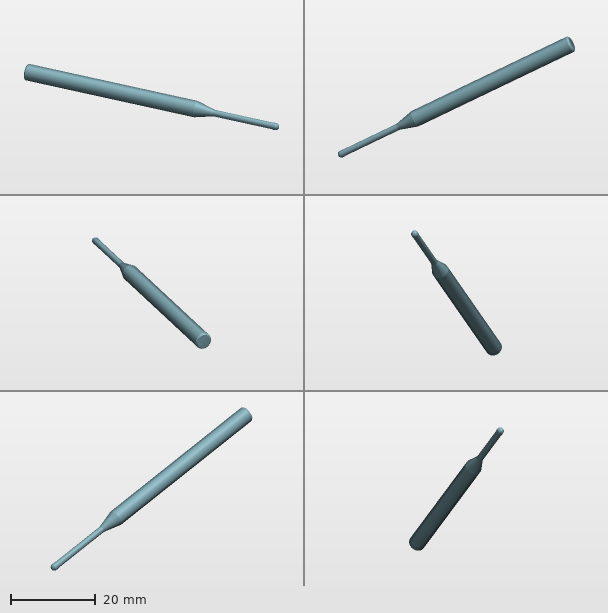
import cadquery as cq

overall_length = 63.0
shank_diameter = 4.0
shank_chamfer = 0.3
shank_length = 42.35
cone_length = 4.55
neck_diameter = 1.6
head_diameter = 1.7
head_length = 1.5

shank_radius = shank_diameter / 2
neck_radius = neck_diameter / 2
head_radius = head_diameter / 2

cone_end = shank_length + cone_length
head_start = overall_length - head_length
ball_center = overall_length - head_radius
ball_mid_offset = head_radius / 2 ** 0.5

profile = (
    cq.Workplane("XY")
    .moveTo(0, 0)
    .lineTo(0, shank_radius - shank_chamfer)
    .lineTo(shank_chamfer, shank_radius)
    .lineTo(shank_length, shank_radius)
    .lineTo(cone_end, neck_radius)
    .lineTo(head_start, neck_radius)
    .lineTo(head_start, head_radius)
    .lineTo(ball_center, head_radius)
    .threePointArc((ball_center + ball_mid_offset, ball_mid_offset), (overall_length, 0))
    .close()
)

result = profile.revolve(360, (0, 0, 0), (1, 0, 0))